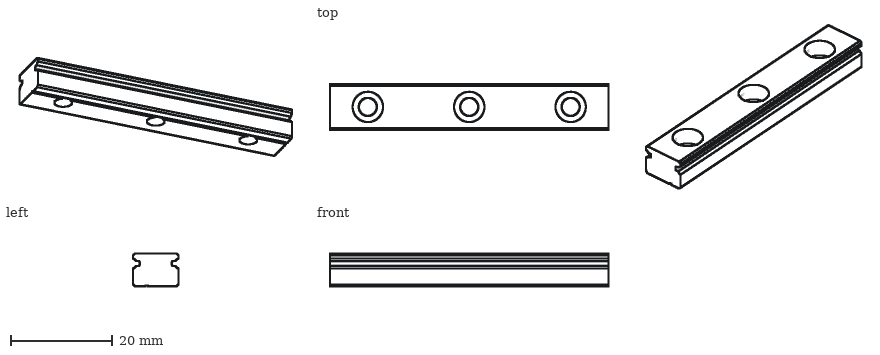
import cadquery as cq
import math

length = 55.0
width = 9.0
height = 6.5
edge_chamfer = 0.4

track_drop = 2.0
track_radius = 1.05
track_half_opening = 1.0
relief_depth = 1.3
relief_height = 0.95
relief_corner_radius = 0.3

mark_y = 1.75
mark_width = 0.5
mark_depth = 0.15

hole_count = 3
hole_pitch = 20.0
hole_diameter = 3.5
counterbore_diameter = 6.0
counterbore_depth = 3.5

track_z = height - track_drop
track_axis_y = width / 2 + math.sqrt(track_radius**2 - track_half_opening**2)


def make_body():
    """Plain bar on Z = 0 with its four long edges chamfered."""
    bar = cq.Workplane("XY").box(length, width, height, centered=(True, True, False))
    return bar.edges("|X").chamfer(edge_chamfer)


def make_track(side):
    """Cutter for the ball track and relief on one side (+1 or -1 along Y)."""
    profile_plane = cq.Workplane("YZ", origin=(-length / 2, 0, 0))
    ball_groove = (
        profile_plane.center(side * track_axis_y, track_z).circle(track_radius).extrude(length)
    )
    relief = (
        profile_plane.center(side * width / 2, track_z)
        .rect(2 * relief_depth, relief_height)
        .extrude(length)
        .edges("|X")
        .fillet(relief_corner_radius)
    )
    return ball_groove.union(relief)


def make_mark_groove():
    """Cutter for the shallow groove in the bottom face."""
    return cq.Workplane("XY").box(length, mark_width, 2 * mark_depth).translate((0, mark_y, 0))


def drill_holes(rail):
    """Row of counterbored holes, centred along the rail."""
    return (
        rail.faces(">Z")
        .workplane(origin=(0, 0, height))
        .rarray(hole_pitch, 0.55, hole_count, 1)
        .cboreHole(hole_diameter, counterbore_diameter, counterbore_depth)
    )


rail = make_body()
for side in (1, -1):
    rail = rail.cut(make_track(side))
rail = rail.cut(make_mark_groove())
result = drill_holes(rail)